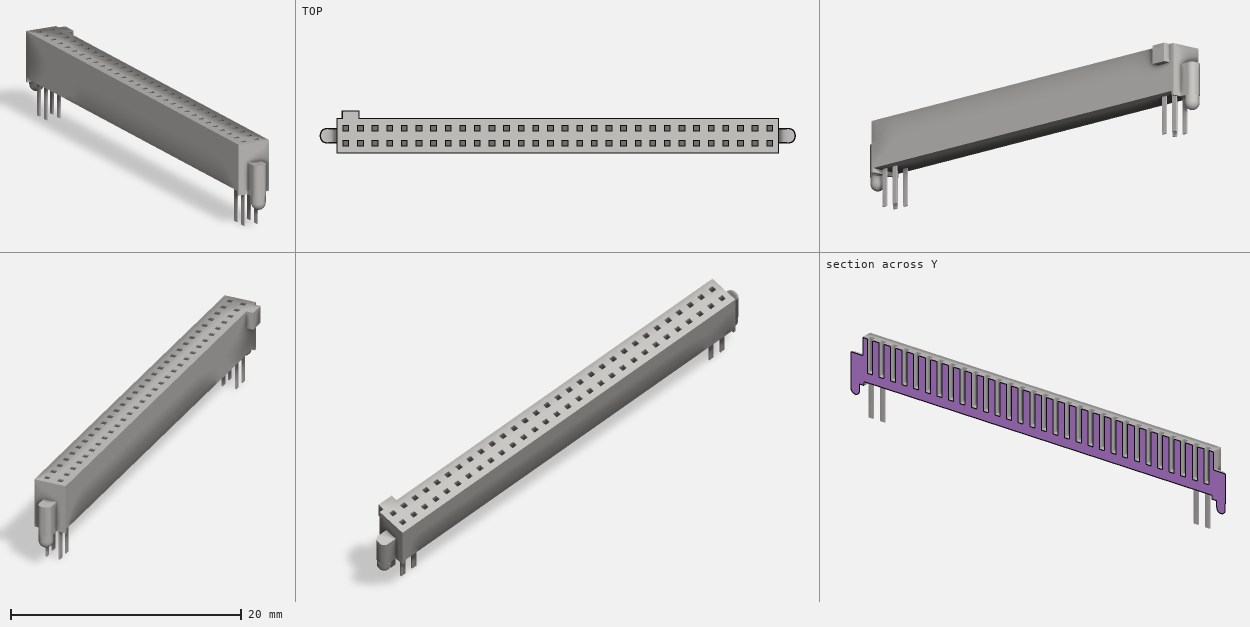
import cadquery as cq

total_length = 41.25
block_length = 38.4
block_width = 3.0
block_height = 4.62

foot_thickness = 0.2
foot_height = 0.37
foot_z = -block_height
underside_z = foot_z + foot_height

tab_start_x = -18.75
tab_length = 1.5
tab_depth = 0.65
tab_height = 1.65

lug_width = 1.25
lug_end_x = 20.6
lug_length = lug_end_x - block_length / 2
lug_top_z = -1.75
lug_corner_radius = 0.5
peg_diameter = 1.3
peg_radius = peg_diameter / 2
peg_straight_length = 0.6
peg_offset_x = total_length / 2 - peg_radius

columns = 30
rows = 2
column_span = 36.8
pitch = column_span / (columns - 1)
row_pitch = 1.3
socket_side = 0.5
socket_depth = 3.3

pin_width = 0.5
pin_thickness = 0.12
pin_bottom_z = -7.65
pin_length = underside_z - pin_bottom_z
end_columns = [0, 1, columns - 2, columns - 1]


def column_x(column):
    return (column - (columns - 1) / 2) * pitch


def row_y(row):
    return (row - (rows - 1) / 2) * row_pitch


def make_box(x_min, length, width, z_top, height, y_center=0):
    """Box starting at x_min, centred on y_center, hanging down from z_top."""
    return (
        cq.Workplane("XY", origin=(x_min, y_center, z_top - height))
        .box(length, width, height, centered=(False, True, False))
    )


def make_block():
    """Plain block, relieved underneath between its two end feet."""
    block = make_box(-block_length / 2, block_length, block_width, 0, block_height)
    relief_length = block_length - 2 * foot_thickness
    relief = make_box(-relief_length / 2, relief_length, block_width, underside_z, foot_height)
    return block.cut(relief)


def make_key_tab():
    tab_center_y = (block_width + tab_depth) / 2
    return make_box(tab_start_x, tab_length, tab_depth, 0, tab_height, tab_center_y)


def make_left_lug():
    """Lug on the -X end, with rounded outer corners."""
    lug = make_box(-lug_end_x, lug_length, lug_width, lug_top_z, lug_top_z - foot_z)
    return lug.edges("|Z and <X").fillet(lug_corner_radius)


def make_left_peg():
    """Cylinder with a hemispherical tip, revolved about its own vertical axis."""
    straight_end_z = foot_z - peg_straight_length
    tip_z = straight_end_z - peg_radius
    arc_middle = peg_radius * 0.5 ** 0.5
    return (
        cq.Workplane("XZ", origin=(-peg_offset_x, 0, 0))
        .moveTo(0, foot_z)
        .lineTo(peg_radius, foot_z)
        .lineTo(peg_radius, straight_end_z)
        .threePointArc((arc_middle, straight_end_z - arc_middle), (0, tip_z))
        .close()
        .revolve(360, (0, 0, 0), (0, 1, 0))
    )


def make_sockets():
    centers = [(column_x(column), row_y(row)) for column in range(columns) for row in range(rows)]
    return (
        cq.Workplane("XY")
        .pushPoints(centers)
        .rect(socket_side, socket_side)
        .extrude(-socket_depth)
    )


def make_housing():
    left_end = make_left_lug().union(make_left_peg())
    right_end = left_end.mirror("YZ")
    body = make_block().union(make_key_tab()).union(left_end).union(right_end)
    return body.cut(make_sockets())


def make_pin(column, row):
    """Flat blade that starts at the underside of the block."""
    pin_start_x = column_x(column) - pin_width / 2
    return make_box(pin_start_x, pin_width, pin_thickness, underside_z, pin_length, row_y(row))


housing = make_housing()
pins = [make_pin(column, row) for column in end_columns for row in range(rows)]

result = cq.Compound.makeCompound([housing.val(), *[pin.val() for pin in pins]])